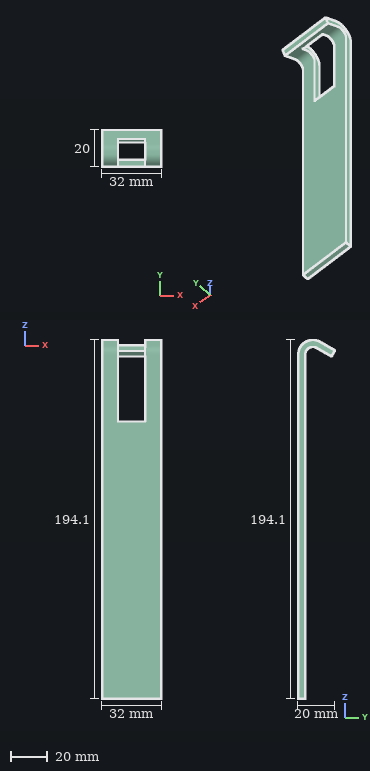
import cadquery as cq
import math

height = 194.1
width = 32.0
depth = 20.0
thickness = 3.9
outer_radius = 8.0
arm_slope = math.radians(30)
slot_width = 14.5
slot_bottom = 150.0
slot_end_on_arm = 3.5

inner_radius = outer_radius - thickness
bend_y = outer_radius
bend_z = height - outer_radius
arm_length = (depth - bend_y - outer_radius * math.sin(arm_slope)) / math.cos(arm_slope)


def bend_point(radius, angle):
    """Point on the bend, with the angle measured from +Y towards +Z."""
    return (bend_y + radius * math.cos(angle), bend_z + radius * math.sin(angle))


def arm_point(radius, distance):
    """Point on an arm face, at a distance past the end of the bend."""
    y, z = bend_point(radius, math.pi / 2 - arm_slope)
    return (y + distance * math.cos(arm_slope), z - distance * math.sin(arm_slope))


def strip(bottom, arm_reach, strip_width):
    """Bent strip from a height on the plate to a distance along the arm."""
    bend_middle = (math.pi + math.pi / 2 - arm_slope) / 2
    return (
        cq.Workplane("YZ")
        .moveTo(0, bottom)
        .lineTo(0, bend_z)
        .threePointArc(bend_point(outer_radius, bend_middle), arm_point(outer_radius, 0))
        .lineTo(*arm_point(outer_radius, arm_reach))
        .lineTo(*arm_point(inner_radius, arm_reach))
        .lineTo(*arm_point(inner_radius, 0))
        .threePointArc(bend_point(inner_radius, bend_middle), (thickness, bend_z))
        .lineTo(thickness, bottom)
        .close()
        .extrude(strip_width / 2, both=True)
    )


plate = strip(0, arm_length, width)
slot = strip(slot_bottom, slot_end_on_arm, slot_width)
result = plate.cut(slot)